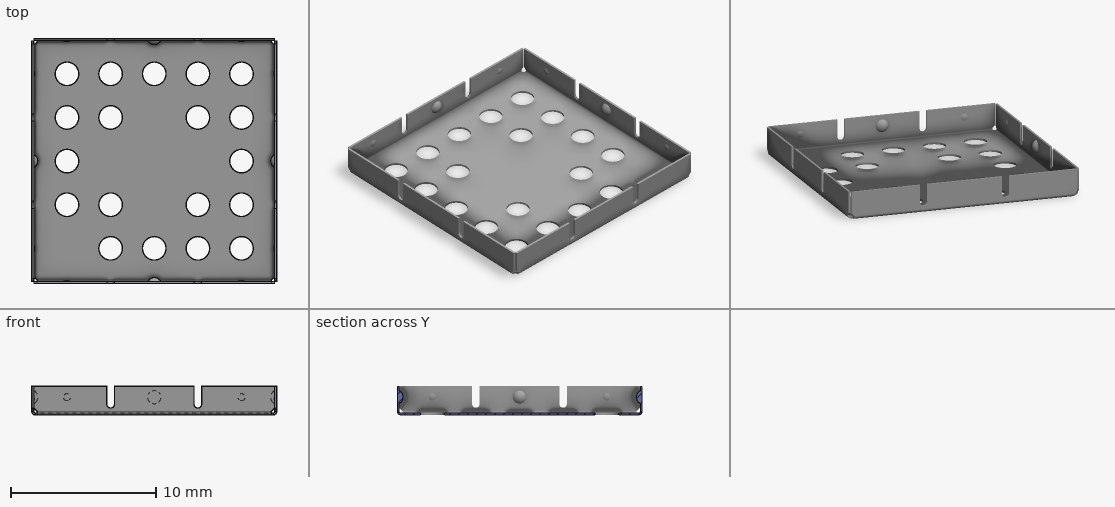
import cadquery as cq
import math

side = 16.9
height = 2.0
sheet = 0.15
inner_bend = 0.1
outer_bend = inner_bend + sheet

wall_gap = 0.008
wall_inset = sheet + wall_gap
floor_chamfer = 0.12
bend_inset = outer_bend + floor_chamfer
wall_taper = bend_inset - wall_inset

pitch = 3.0
vent_diameter = 1.6
grid_reach = 2
blank_corner = (-grid_reach, -grid_reach)

slot_width = 0.5
slot_depth = 1.5

dome_z = 1.23
large_dome_diameter = 0.91
large_dome_height = 0.27
small_dome_diameter = 0.49
small_dome_height = 0.05

half_side = side / 2
inner_face = half_side - sheet
floor_half = half_side - outer_bend


def make_floor():
    floor = cq.Workplane("XY").rect(2 * floor_half, 2 * floor_half).extrude(sheet)
    return floor.edges("|Z").chamfer(floor_chamfer)


def make_bent_strip():
    """Wall on the -Y side with its bend, running the full length of the side."""
    bend_y = -floor_half
    outer_diagonal = outer_bend * math.sqrt(0.5)
    inner_diagonal = inner_bend * math.sqrt(0.5)
    return (
        cq.Workplane("YZ")
        .moveTo(bend_y, 0)
        .threePointArc(
            (bend_y - outer_diagonal, outer_bend - outer_diagonal),
            (-half_side, outer_bend),
        )
        .lineTo(-half_side, height)
        .lineTo(-inner_face, height)
        .lineTo(-inner_face, outer_bend)
        .threePointArc(
            (bend_y - inner_diagonal, outer_bend - inner_diagonal),
            (bend_y, sheet),
        )
        .close()
        .extrude(half_side, both=True)
    )


def make_wall_outline():
    """Front outline of a wall: narrow along the bend, tapering out to the wall ends."""
    wall_half = half_side - wall_inset
    bend_half = half_side - bend_inset
    taper_top = outer_bend + wall_taper
    return (
        cq.Workplane("XZ")
        .polyline([
            (-bend_half, 0),
            (bend_half, 0),
            (bend_half, outer_bend),
            (wall_half, taper_top),
            (wall_half, height),
            (-wall_half, height),
            (-wall_half, taper_top),
            (-bend_half, outer_bend),
        ])
        .close()
        .extrude(half_side)
    )


def make_slot(x):
    """Round-bottomed slot, open at the rim."""
    bottom_z = height - slot_depth
    centre_z = bottom_z + slot_width / 2
    left = x - slot_width / 2
    right = x + slot_width / 2
    return (
        cq.Workplane("XZ")
        .moveTo(left, height)
        .lineTo(left, centre_z)
        .threePointArc((x, bottom_z), (right, centre_z))
        .lineTo(right, height)
        .close()
        .extrude(half_side)
    )


def make_dome(x, diameter, dome_height):
    """Spherical cap standing inward from the -Y wall, with a root inside the sheet."""
    radius = ((diameter / 2) ** 2 + dome_height ** 2) / (2 * dome_height)
    half_angle = math.asin(diameter / 2 / radius) / 2
    mid_offset = radius * math.sin(half_angle)
    mid_height = dome_height - radius * (1 - math.cos(half_angle))
    root = sheet / 2
    return (
        cq.Workplane("XY", origin=(x, -inner_face, dome_z))
        .moveTo(0, -root)
        .lineTo(diameter / 2, -root)
        .lineTo(diameter / 2, 0)
        .threePointArc((mid_offset, mid_height), (0, dome_height))
        .close()
        .revolve(360, (0, 0), (0, 1))
    )


def make_wall():
    wall = make_bent_strip().intersect(make_wall_outline())
    for x in (-pitch, pitch):
        wall = wall.cut(make_slot(x))
    wall = wall.union(make_dome(0, large_dome_diameter, large_dome_height))
    for x in (-2 * pitch, 2 * pitch):
        wall = wall.union(make_dome(x, small_dome_diameter, small_dome_height))
    return wall


def vent_positions():
    """Full grid without its middle cross and without one corner."""
    steps = range(-grid_reach, grid_reach + 1)
    positions = []
    for column in steps:
        for row in steps:
            in_middle_cross = abs(column) + abs(row) <= 1
            if not in_middle_cross and (column, row) != blank_corner:
                positions.append((column * pitch, row * pitch))
    return positions


result = make_floor()
wall = make_wall()
for quarter_turn in range(4):
    result = result.union(wall.rotate((0, 0, 0), (0, 0, 1), 90 * quarter_turn))

vents = (
    cq.Workplane("XY")
    .pushPoints(vent_positions())
    .circle(vent_diameter / 2)
    .extrude(sheet)
)
result = result.cut(vents)